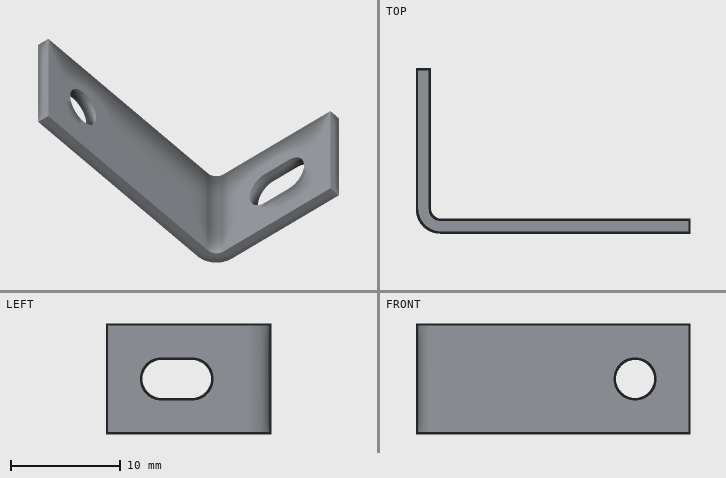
import cadquery as cq

length = 25.0
depth = 15.0
height = 10.0

thickness = 1.2
inner_bend_radius = 1.0
outer_bend_radius = inner_bend_radius + thickness

hole_diameter = 3.7
hole_from_end = 5.0
slot_width = hole_diameter
slot_length = 6.5
slot_from_end = 6.4


def bent_sheet():
    """L-shaped strip with its outer corner at the origin and a rounded bend."""
    profile = (
        cq.Workplane("XY")
        .moveTo(length, 0)
        .lineTo(length, thickness)
        .lineTo(outer_bend_radius, thickness)
        .radiusArc((thickness, outer_bend_radius), inner_bend_radius)
        .lineTo(thickness, depth)
        .lineTo(0, depth)
        .lineTo(0, outer_bend_radius)
        .radiusArc((outer_bend_radius, 0), -outer_bend_radius)
        .close()
    )
    return profile.extrude(height)


def round_hole_cutter():
    """Cylinder through the long leg."""
    return (
        cq.Workplane("XZ")
        .center(length - hole_from_end, height / 2)
        .circle(hole_diameter / 2)
        .extrude(-thickness)
    )


def slot_cutter():
    """Round-ended slot through the short leg, running along Y."""
    return (
        cq.Workplane("YZ")
        .center(depth - slot_from_end, height / 2)
        .slot2D(slot_length, slot_width)
        .extrude(thickness)
    )


result = bent_sheet().cut(round_hole_cutter()).cut(slot_cutter())